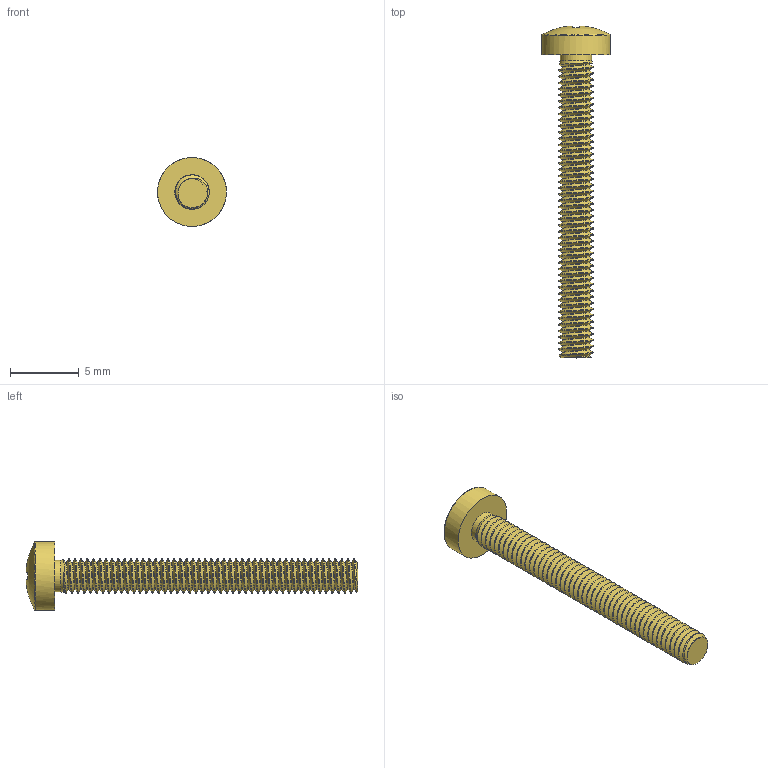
import cadquery as cq
import math

head_diameter = 5.0
head_height = 2.1
head_rim_height = 1.46
head_rim_fillet = 0.07

recess_span = 2.4
recess_slot_width = 0.56
recess_depth = 1.2
recess_taper = 5.0

shank_length = 22.0
neck_diameter = 2.28
neck_length = 0.45
neck_cone_length = 0.35
tip_diameter = 2.28
tip_cone_length = 0.28

thread_diameter = 2.5
thread_pitch = 0.45
thread_flank_angle = 30.0
thread_depth = 0.6134 * thread_pitch
crest_width = thread_pitch / 8
flank_width = thread_depth * math.tan(math.radians(thread_flank_angle))
root_width = thread_pitch - crest_width - 2 * flank_width
first_root_distance = 0.68
plain_length = 0.6
spare_turns = 2

head_radius = head_diameter / 2
neck_radius = neck_diameter / 2
tip_radius = tip_diameter / 2
thread_radius = thread_diameter / 2
root_radius = thread_radius - thread_depth
neck_cone_slope = (thread_radius - neck_radius) / neck_cone_length
tip_cone_slope = (thread_radius - tip_radius) / tip_cone_length
plain_end_radius = neck_radius + (plain_length - neck_length) * neck_cone_slope


def revolve_about_y(outline):
    """Close an outline that starts and ends on the Y axis and turn it about that axis."""
    return outline.close().revolve(360, (0, 0, 0), (0, 1, 0))


def make_head_and_neck():
    """Domed head with the neck and the start of the cone that leads into the thread."""
    dome_rise = head_height - head_rim_height
    dome_radius = (head_radius**2 + dome_rise**2) / (2 * dome_rise)
    half_angle = math.asin(head_radius / dome_radius) / 2
    dome_middle = (
        dome_radius * math.sin(half_angle),
        head_height - dome_radius * (1 - math.cos(half_angle)),
    )
    head = revolve_about_y(
        cq.Workplane("XY")
        .moveTo(0, -plain_length)
        .lineTo(plain_end_radius, -plain_length)
        .lineTo(neck_radius, -neck_length)
        .lineTo(neck_radius, 0)
        .lineTo(head_radius, 0)
        .lineTo(head_radius, head_rim_height)
        .threePointArc(dome_middle, (0, head_height))
    )
    rim_edge = head.edges(cq.selectors.NearestToPointSelector((0, head_rim_height, 0)))
    return rim_edge.fillet(head_rim_fillet)


def make_recess():
    """Two crossed slots that narrow with depth below the top of the dome."""
    top = cq.Workplane("XZ", origin=(0, head_height, 0))
    slots = top.rect(recess_span, recess_slot_width).extrude(recess_depth, taper=recess_taper)
    return slots.union(slots.rotate((0, 0, 0), (0, 1, 0), 90))


def make_helicoid_end(height):
    """One turn of the helical ramp, from the axis out to the thread root."""
    axis_edge = cq.Edge.makeLine(cq.Vector(0, 0, height), cq.Vector(0, 0, height + thread_pitch))
    root_helix = cq.Wire.makeHelix(thread_pitch, thread_pitch, root_radius, cq.Vector(0, 0, height))
    return cq.Face.makeRuledSurface(axis_edge, root_helix.Edges()[0])


def make_step_end(section, height):
    """Flat radial face that joins the two ends of a helical ramp."""
    outline = [(0, 0)] + section + [(0, thread_pitch)]
    corners = [cq.Vector(radius, 0, height + offset) for radius, offset in outline]
    return cq.Face.makeFromWires(cq.Wire.makePolygon(corners, close=True))


def make_threaded_rod():
    """Full thread, overlong at both ends, built turn by turn from helical faces.

    The section is one pitch long and starts at the middle of a root.
    """
    section = [
        (root_radius, 0),
        (root_radius, root_width / 2),
        (thread_radius, root_width / 2 + flank_width),
        (thread_radius, root_width / 2 + flank_width + crest_width),
        (root_radius, thread_pitch - root_width / 2),
        (root_radius, thread_pitch),
    ]
    turns = math.ceil((shank_length - first_root_distance) / thread_pitch) + 2 * spare_turns
    helices = [
        cq.Wire.makeHelix(thread_pitch, thread_pitch, radius, cq.Vector(0, 0, offset)).Edges()[0]
        for radius, offset in section
    ]
    faces = []
    for lower, upper in zip(helices, helices[1:]):
        strip = cq.Face.makeRuledSurface(lower, upper)
        for turn in range(turns):
            faces.append(strip.translate(cq.Vector(0, 0, turn * thread_pitch)))
    rod_length = turns * thread_pitch
    for height in (0, rod_length):
        faces.append(make_helicoid_end(height))
    faces.append(make_step_end(section, 0))
    faces.append(make_step_end(section, rod_length))
    rod = cq.Workplane(obj=cq.Solid.makeSolid(cq.Shell.makeShell(faces)))
    rod_start = spare_turns * thread_pitch - first_root_distance
    return rod.rotate((0, 0, 0), (1, 0, 0), 90).translate((0, rod_start, 0))


def make_thread_envelope():
    """Solid that trims the rod to length and cones both of its ends."""
    clear_radius = thread_radius + thread_depth
    neck_cone_end = neck_length + (clear_radius - neck_radius) / neck_cone_slope
    tip_cone_end = shank_length - (clear_radius - tip_radius) / tip_cone_slope
    return revolve_about_y(
        cq.Workplane("XY")
        .moveTo(0, -plain_length)
        .lineTo(plain_end_radius, -plain_length)
        .lineTo(clear_radius, -neck_cone_end)
        .lineTo(clear_radius, -tip_cone_end)
        .lineTo(tip_radius, -shank_length)
        .lineTo(0, -shank_length)
    )


thread = make_threaded_rod().intersect(make_thread_envelope())
result = make_head_and_neck().cut(make_recess()).union(thread).solids()